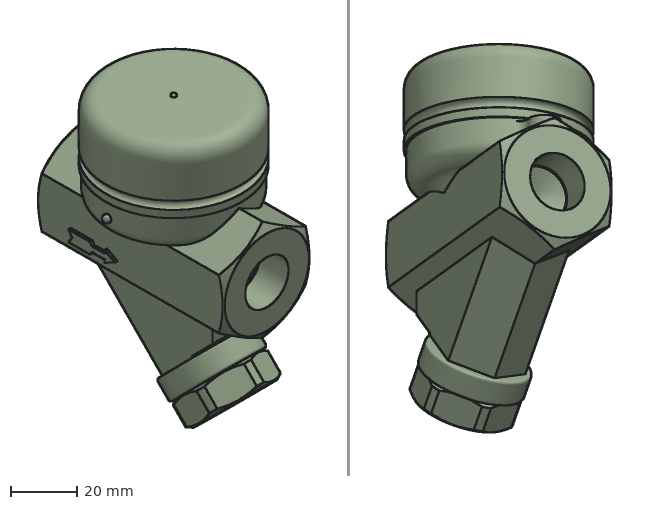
import cadquery as cq
import math

BARREL_LENGTH = 80.0
BARREL_FLATS = 37.0
BARREL_CORNER_RADIUS = BARREL_FLATS / 2 / math.cos(math.radians(30))
BARREL_FACE_RADIUS = 17.9
CHAMFER_ANGLE = math.radians(30)

PORT_RADIUS = 9.2
PORT_DEPTH = 12.0
DRILL_RADIUS = 8.9
DRILL_POINT_ANGLE = math.radians(120)

CAP_DIAMETER = 57.5
CAP_TOP_Z = 49.0
CAP_FILLET = 5.6
WELD_GROOVE_RADIUS = 1.7
WELD_GROOVE_Z = 28.5
RIM_BOTTOM_Z = 23.8
BOWL_DIAMETER = 56.0
BOWL_FILLET = 5.0
BOWL_BOTTOM_Z = 10.9
NECK_RADIUS = BARREL_FLATS / 2
NECK_FILLET = 4.0

TOP_DOT_DIAMETER = 2.0
TOP_DOT_TIP_Z = 49.9
SIDE_DOT_DIAMETER = 3.0
OVERALL_DEPTH = 58.7
SIDE_DOT_TIP_Y = CAP_DIAMETER / 2 - OVERALL_DEPTH
SIDE_DOT_Z = 17.6

LUG_RADIUS = 5.0
LUG_END_X = -36.0
LUG_TOP_Z = 22.7
LUG_FILLET = 3.0

ARROW_HEIGHT = 1.0
ARROW_Z = -5.6
ARROW_TAIL_X = -25.5
ARROW_NOTCH_X = -24.0
ARROW_SHOULDER_X = -16.2
ARROW_SHAFT_X = -15.5
ARROW_HEAD_X = -10.1
ARROW_TIP_X = -5.5
ARROW_HALF_WIDTH = 2.4
ARROW_SHAFT_HALF_WIDTH = 1.1

BRANCH_ORIGIN_Z = -24.9
BRANCH_FLATS = 26.0
BRANCH_END = 19.0
BRANCH_RIGHT_X = 29.7
BRANCH_LAND_DEPTH = 0.5

FLANGE_DIAMETER = 34.0
FLANGE_THICKNESS = 8.2
FLANGE_FILLET = 0.9
PLUG_FLATS = 30.0
PLUG_CORNER_DIAMETER = 33.0
PLUG_HEX_HEIGHT = 10.1
PLUG_FACE_RADIUS = 14.7
PLUG_CHAMFER = 1.1

branch_plane = cq.Plane(origin=(0, 0, BRANCH_ORIGIN_Z), xDir=(0, 1, 0), normal=(1, 0, -1))
plug_plane = cq.Plane(
    origin=branch_plane.toWorldCoords((0, 0, BRANCH_END)).toTuple(),
    xDir=(0, 1, 0),
    normal=(1, 0, -1),
)


def make_barrel():
    """Hexagonal bar with corners up and down, both ends turned to a 30 degree chamfer."""
    half = BARREL_LENGTH / 2
    chamfer = (BARREL_CORNER_RADIUS - BARREL_FACE_RADIUS) * math.tan(CHAMFER_ANGLE)
    hexagon = (
        cq.Workplane("YZ", origin=(-half, 0, 0))
        .transformed(rotate=(0, 0, 90))
        .polygon(6, 2 * BARREL_CORNER_RADIUS)
        .extrude(BARREL_LENGTH)
    )
    turned = (
        cq.Workplane("XY")
        .polyline([
            (-half, 0),
            (-half, BARREL_FACE_RADIUS),
            (-half + chamfer, BARREL_CORNER_RADIUS),
            (half - chamfer, BARREL_CORNER_RADIUS),
            (half, BARREL_FACE_RADIUS),
            (half, 0),
        ])
        .close()
        .revolve(360, (0, 0, 0), (1, 0, 0))
    )
    return hexagon.intersect(turned)


def make_port():
    """Blind hole with a small step and a drill point, entering from -X."""
    mouth_x = -BARREL_LENGTH / 2
    step_x = mouth_x + PORT_DEPTH
    tip_x = step_x + DRILL_RADIUS / math.tan(DRILL_POINT_ANGLE / 2)
    return (
        cq.Workplane("XY")
        .polyline([
            (mouth_x, 0),
            (mouth_x, PORT_RADIUS),
            (step_x, PORT_RADIUS),
            (step_x, DRILL_RADIUS),
            (tip_x, 0),
        ])
        .close()
        .revolve(360, (0, 0, 0), (1, 0, 0))
    )


def make_chamber():
    """Cap, weld groove, rim, bowl and neck as one turned shape."""
    cap_r = CAP_DIAMETER / 2
    bowl_r = BOWL_DIAMETER / 2
    arc_mid = math.sqrt(0.5)
    fillet_gap = 1 - arc_mid
    neck_tangent_z = BOWL_BOTTOM_Z - NECK_FILLET
    return (
        cq.Workplane("XZ")
        .moveTo(0, 0)
        .lineTo(NECK_RADIUS, 0)
        .lineTo(NECK_RADIUS, neck_tangent_z)
        .threePointArc(
            (NECK_RADIUS + NECK_FILLET * fillet_gap, neck_tangent_z + NECK_FILLET * arc_mid),
            (NECK_RADIUS + NECK_FILLET, BOWL_BOTTOM_Z),
        )
        .lineTo(bowl_r - BOWL_FILLET, BOWL_BOTTOM_Z)
        .threePointArc(
            (bowl_r - BOWL_FILLET * fillet_gap, BOWL_BOTTOM_Z + BOWL_FILLET * fillet_gap),
            (bowl_r, BOWL_BOTTOM_Z + BOWL_FILLET),
        )
        .lineTo(bowl_r, RIM_BOTTOM_Z)
        .lineTo(cap_r, RIM_BOTTOM_Z)
        .lineTo(cap_r, WELD_GROOVE_Z - WELD_GROOVE_RADIUS)
        .threePointArc(
            (cap_r - WELD_GROOVE_RADIUS, WELD_GROOVE_Z),
            (cap_r, WELD_GROOVE_Z + WELD_GROOVE_RADIUS),
        )
        .lineTo(cap_r, CAP_TOP_Z - CAP_FILLET)
        .threePointArc(
            (cap_r - CAP_FILLET * fillet_gap, CAP_TOP_Z - CAP_FILLET * fillet_gap),
            (cap_r - CAP_FILLET, CAP_TOP_Z),
        )
        .lineTo(0, CAP_TOP_Z)
        .close()
        .revolve(360, (0, 0, 0), (0, 1, 0))
    )


def make_dots():
    """Spheres partly sunk into the cap top and the front of the bowl."""
    top_radius = TOP_DOT_DIAMETER / 2
    side_radius = SIDE_DOT_DIAMETER / 2
    top_dot = cq.Workplane("XY").sphere(top_radius).translate((0, 0, TOP_DOT_TIP_Z - top_radius))
    side_y = SIDE_DOT_TIP_Y + side_radius
    side_dot = cq.Workplane("XY").sphere(side_radius).translate((0, side_y, SIDE_DOT_Z))
    return top_dot.union(side_dot)


def make_lug():
    """Round-ended lug that flares into the bowl through concave fillets."""
    bowl_r = BOWL_DIAMETER / 2
    centre_x = LUG_END_X + LUG_RADIUS
    to_bowl = bowl_r + LUG_FILLET
    to_lug = LUG_RADIUS + LUG_FILLET
    fillet_x = (centre_x ** 2 + to_bowl ** 2 - to_lug ** 2) / (2 * centre_x)
    fillet_y = math.sqrt(to_bowl ** 2 - fillet_x ** 2)
    bowl_x = fillet_x * bowl_r / to_bowl
    bowl_y = fillet_y * bowl_r / to_bowl
    tangent_x = centre_x + (fillet_x - centre_x) * LUG_RADIUS / to_lug
    tangent_y = fillet_y * LUG_RADIUS / to_lug
    start_angle = math.atan2(bowl_y - fillet_y, bowl_x - fillet_x)
    end_angle = math.atan2(tangent_y - fillet_y, tangent_x - fillet_x)
    mid_angle = (start_angle + end_angle) / 2
    mid_x = fillet_x + LUG_FILLET * math.cos(mid_angle)
    mid_y = fillet_y + LUG_FILLET * math.sin(mid_angle)
    return (
        cq.Workplane("XY")
        .moveTo(0, bowl_y)
        .lineTo(bowl_x, bowl_y)
        .threePointArc((mid_x, mid_y), (tangent_x, tangent_y))
        .threePointArc((LUG_END_X, 0), (tangent_x, -tangent_y))
        .threePointArc((mid_x, -mid_y), (bowl_x, -bowl_y))
        .lineTo(0, -bowl_y)
        .close()
        .extrude(LUG_TOP_Z)
    )


def make_arrow():
    """Flow arrow standing proud of the front flat."""
    upper = [
        (ARROW_TAIL_X, ARROW_HALF_WIDTH),
        (ARROW_SHOULDER_X, ARROW_HALF_WIDTH),
        (ARROW_SHAFT_X, ARROW_SHAFT_HALF_WIDTH),
        (ARROW_HEAD_X, ARROW_SHAFT_HALF_WIDTH),
        (ARROW_HEAD_X, ARROW_HALF_WIDTH),
    ]
    lower = [(x, -z) for x, z in reversed(upper)]
    outline = [(ARROW_NOTCH_X, 0)] + upper + [(ARROW_TIP_X, 0)] + lower
    return (
        cq.Workplane("XZ", origin=(0, -BARREL_FLATS / 2, ARROW_Z))
        .polyline(outline)
        .close()
        .extrude(ARROW_HEIGHT)
    )


def make_branch():
    """Flat-sided branch with a V-shaped underside, a vertical right face and a round land."""
    half_width = BRANCH_FLATS / 2
    corner = half_width * math.tan(math.radians(30))
    reach = BARREL_LENGTH
    bar = (
        cq.Workplane(branch_plane)
        .workplane(offset=-reach)
        .polyline([
            (0, -2 * corner),
            (half_width, -corner),
            (half_width, reach),
            (-half_width, reach),
            (-half_width, -corner),
        ])
        .close()
        .extrude(reach + BRANCH_END)
    )
    left_x = -BARREL_LENGTH / 2
    top_z = -BARREL_CORNER_RADIUS / 2
    limits = cq.Workplane("XY").box(
        BRANCH_RIGHT_X - left_x, BRANCH_FLATS, reach, centered=(False, True, False)
    ).translate((left_x, 0, top_z - reach))
    seat_clearance = (
        cq.Workplane(plug_plane)
        .rect(2 * reach, 2 * reach)
        .circle(FLANGE_DIAMETER / 2)
        .extrude(-BRANCH_LAND_DEPTH)
    )
    return bar.intersect(limits).cut(seat_clearance)


def make_plug():
    """Round flange with a chamfered, corner-turned hexagon head."""
    flange = (
        cq.Workplane(plug_plane)
        .circle(FLANGE_DIAMETER / 2)
        .extrude(FLANGE_THICKNESS)
        .edges()
        .fillet(FLANGE_FILLET)
    )
    hexagon = (
        cq.Workplane(plug_plane)
        .workplane(offset=FLANGE_THICKNESS)
        .transformed(rotate=(0, 0, 90))
        .polygon(6, PLUG_FLATS / math.cos(math.radians(30)))
        .extrude(PLUG_HEX_HEIGHT)
    )
    turned = (
        cq.Workplane(plug_plane)
        .workplane(offset=FLANGE_THICKNESS)
        .circle(PLUG_CORNER_DIAMETER / 2)
        .extrude(PLUG_HEX_HEIGHT)
        .edges()
        .chamfer(PLUG_CHAMFER, PLUG_CORNER_DIAMETER / 2 - PLUG_FACE_RADIUS)
    )
    return flange.union(hexagon.intersect(turned))


port = make_port()
valve_body = (
    make_barrel()
    .union(make_branch())
    .union(make_chamber())
    .union(make_lug())
    .union(make_dots())
    .union(make_arrow())
    .cut(port)
    .cut(port.mirror("YZ"))
)
plug = make_plug()

result = cq.Compound.makeCompound([valve_body.val(), plug.val()])